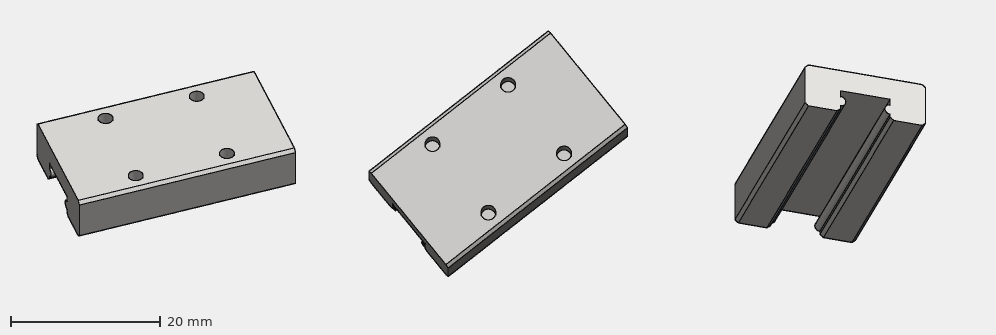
import cadquery as cq

width = 17.0
length = 30.8
height = 6.5
chamfer_side = 0.5
chamfer_rise = 0.43

channel_width = 7.0
channel_height = 3.25

bead_radius = 0.75
bead_height = 1.63

hole_diameter = 2.0
hole_depth = 2.5
hole_spacing_x = 12.0
hole_spacing_y = 13.0


def make_profile():
    """Half of the cross-section in XZ, from the centre plane to the +X side."""
    side = width / 2
    wall = channel_width / 2
    return (
        cq.Workplane("XZ", origin=(0, length / 2, 0))
        .moveTo(0, height)
        .lineTo(side - chamfer_side, height)
        .lineTo(side, height - chamfer_rise)
        .lineTo(side, chamfer_rise)
        .lineTo(side - chamfer_side, 0)
        .lineTo(wall + chamfer_side, 0)
        .lineTo(wall, chamfer_rise)
        .lineTo(wall, bead_height - bead_radius)
        .threePointArc((wall - bead_radius, bead_height), (wall, bead_height + bead_radius))
        .lineTo(wall, channel_height)
        .lineTo(0, channel_height)
        .close()
    )


def make_body():
    """Extruded half carriage, mirrored about the YZ plane."""
    half = make_profile().extrude(length)
    return half.union(half.mirror("YZ")).clean()


def make_holes():
    """Four flat-bottomed mounting holes on a rectangular pattern."""
    return (
        cq.Workplane("XY", origin=(0, 0, height))
        .rarray(hole_spacing_x, hole_spacing_y, 2, 2)
        .circle(hole_diameter / 2)
        .extrude(-hole_depth)
    )


result = make_body().cut(make_holes())